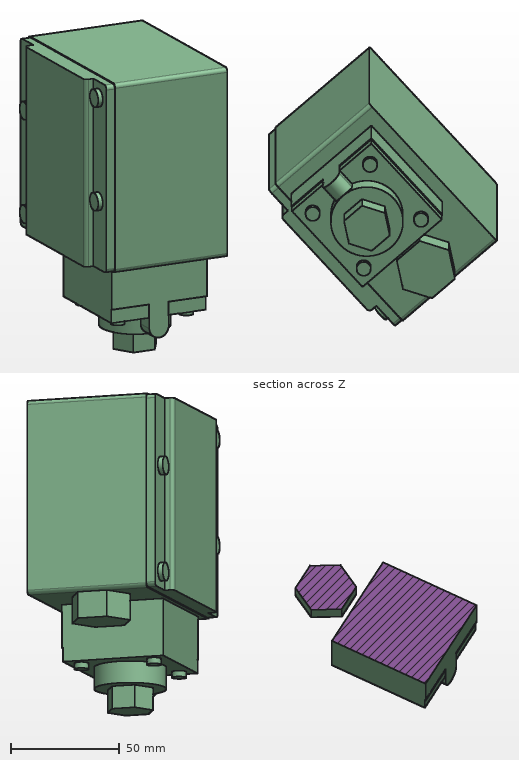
import cadquery as cq
import math


housing_width = 88.9
housing_depth = 58.1
housing_height = 91.1
corner_radius = 2.0
cover_inset = 0.4
cover_thickness = 4.3
pad_width = 61.5
pad_height = 4.4
pad_edge_radius = 1.8

cover_screw_diameter = 8.6
cover_screw_height = 2.4
cover_screw_x = 36.0
cover_screw_outer_z = 37.4
cover_screw_inner_z = 12.5

axis_y = 27.0

entry_x = -29.9
entry_across_flats = 24.5
entry_length = 12.3

head_x = 11.1
block_size = 49.4
block_height = 20.2
plate_size = 49.0
plate_height = 6.5
flange_diameter = 33.4
flange_height = 10.1
tip_across_flats = 19.2
head_screw_diameter = 6.6
head_screw_height = 2.8
head_screw_offset = 17.7
side_boss_radius = 5.0

total_height = 138.4

housing_bottom = -housing_height / 2
block_bottom = housing_bottom - block_height
plate_bottom = block_bottom - plate_height
flange_bottom = plate_bottom - flange_height
tip_length = total_height - housing_height - block_height - plate_height - flange_height
block_offset = (block_size - plate_size) / 2
block_right = head_x + block_offset + block_size / 2


def slab(width, height, back_y, thickness):
    """Upright centred slab growing from back_y toward -Y."""
    return cq.Workplane("XZ", origin=(0, back_y, 0)).rect(width, height).extrude(thickness)


def hanging(x, y, top_z):
    """Workplane at top_z whose extrusions grow by negative lengths, downwards."""
    return cq.Workplane("XY", origin=(x, y, top_z))


def hexagon(x, top_z, across_flats, length):
    """Hexagonal prism on the axis depth, with its flats facing -X and +X."""
    prism = hanging(0, 0, 0).polygon(6, across_flats / math.cos(math.pi / 6)).extrude(-length)
    return prism.rotate((0, 0, 0), (0, 0, 1), 30).translate((x, axis_y, top_z))


def make_cover():
    width = housing_width - 2 * cover_inset
    height = housing_height - 2 * cover_inset
    plate = slab(width, height, 0, cover_thickness).edges("|Y").fillet(corner_radius)
    pad = slab(pad_width, height, -cover_thickness, pad_height)
    pad = pad.faces("<Y").edges("|Z").fillet(pad_edge_radius)
    screw_centres = [
        (-cover_screw_x, cover_screw_inner_z),
        (-cover_screw_x, -cover_screw_outer_z),
        (cover_screw_x, cover_screw_outer_z),
        (cover_screw_x, -cover_screw_inner_z),
    ]
    screws = (
        cq.Workplane("XZ", origin=(0, -cover_thickness, 0))
        .pushPoints(screw_centres)
        .circle(cover_screw_diameter / 2)
        .extrude(cover_screw_height)
    )
    return plate.union(pad).union(screws)


def make_side_boss():
    """Boss from the block down the +X side, with straight flanks and a round underside."""
    shoulder_z = flange_bottom + side_boss_radius
    return (
        cq.Workplane("YZ", origin=(head_x, axis_y, 0))
        .moveTo(-side_boss_radius, block_bottom)
        .lineTo(-side_boss_radius, shoulder_z)
        .threePointArc((0, flange_bottom), (side_boss_radius, shoulder_z))
        .lineTo(side_boss_radius, block_bottom)
        .close()
        .extrude(block_right - head_x)
    )


def make_head():
    block = (
        hanging(head_x + block_offset, axis_y + block_offset, housing_bottom)
        .rect(block_size, block_size)
        .extrude(-block_height)
    )
    plate = hanging(head_x, axis_y, block_bottom).rect(plate_size, plate_size).extrude(-plate_height)
    flange = hanging(head_x, axis_y, plate_bottom).circle(flange_diameter / 2).extrude(-flange_height)
    screws = (
        hanging(head_x, axis_y, plate_bottom)
        .rect(2 * head_screw_offset, 2 * head_screw_offset, forConstruction=True)
        .vertices()
        .circle(head_screw_diameter / 2)
        .extrude(-head_screw_height)
    )
    tip = hexagon(head_x, flange_bottom, tip_across_flats, tip_length)
    return block.union(plate).union(flange).union(screws).union(make_side_boss()).union(tip)


housing = slab(housing_width, housing_height, housing_depth, housing_depth)
housing = housing.edges("|Y").fillet(corner_radius)
cable_entry = hexagon(entry_x, housing_bottom, entry_across_flats, entry_length)

result = housing.union(make_cover()).union(cable_entry).union(make_head())